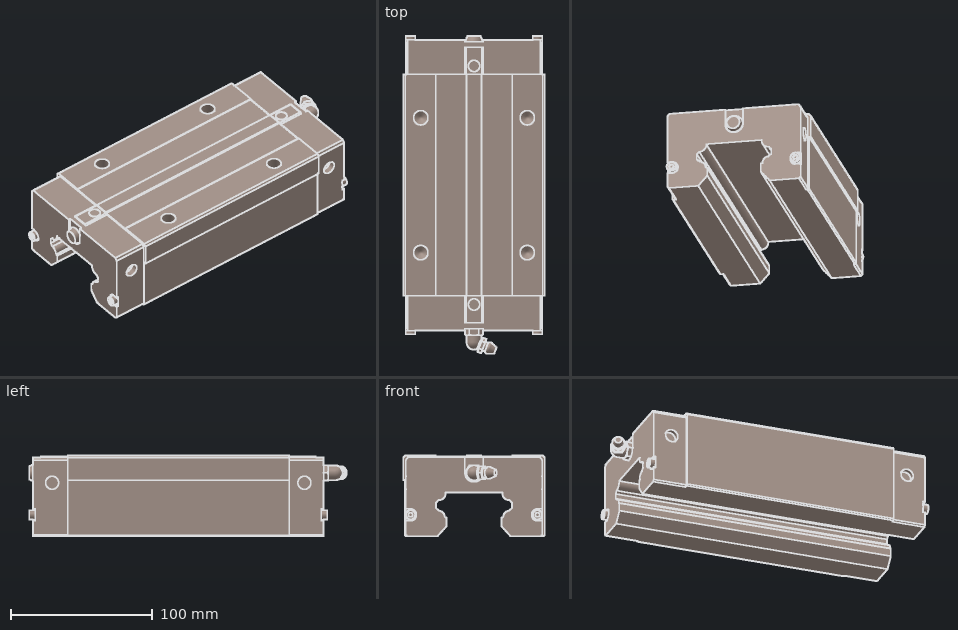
import cadquery as cq
import math

block_width = 100.0
block_length = 156.0
block_height = 57.0
block_chamfer = 1.5
block_bottom_chamfer = 1.0
datum_step_depth = 1.2
datum_step_height = 39.7
land_inner_x = 27.0
land_step = 0.5
strip_half_width = 5.0
strip_slope = 0.5

roof_corner = (20.0, 30.8)
upper_lip_middle = (21.4, 26.8)
upper_lip_end = (25.0, 25.5)
groove_top = (26.7, 23.7)
groove_bottom = (26.7, 20.0)
lower_lip_start = (24.7, 18.2)
lower_lip_middle = (21.9, 16.9)
lower_lip_end = (20.5, 13.7)
leg_top = (19.2, 13.2)
leg_bottom = (19.2, 7.2)
mouth_corner = (25.8, 0.0)

hole_diameter = 10.2
hole_depth = 20.0
hole_tip_angle = 118.0
hole_pitch_x = 75.0
hole_pitch_y = 95.0

cap_width = 96.0
cap_height = 55.7
cap_chamfer_width = 1.4
cap_chamfer_drop = 1.9
cap_bottom_chamfer = 1.2
cap_length = 19.0
plate_thickness = 5.4
cap_strip_top = 56.4
cap_strip_half_width = 5.3
cap_strip_slope = 1.1
cap_inner_y = block_length / 2
plate_inner_y = cap_inner_y + cap_length
end_y = plate_inner_y + plate_thickness

port_diameter = 8.0
port_depth = 0.3
port_y = 84.0
side_hole_diameter = 9.2
side_hole_depth = 5.0
side_hole_y = 88.8
side_hole_z = 37.8

screw_x = 44.7
screw_z = 15.2
screw_head_radius = 3.4
screw_head_chamfer = 0.2
screw_head_y = 105.1
screw_recess_radius = 4.2
screw_recess_depth = 1.6
socket_width = 3.0
socket_depth = 1.5

grease_z = 44.8
slot_half_width = 6.4
slot_depth = 1.4
slot_floor_y = end_y - slot_depth
plug_base_radius = 6.1
plug_top_radius = 4.6
plug_middle_radius = 5.6
plug_height = screw_head_y - slot_floor_y

nipple_hex_width = 11.0
nipple_hex_length = 4.7
nipple_hex_chamfer = 0.6
elbow_radius = 5.3
elbow_y = -110.67
nozzle_angle = 21.0
collar_start = 4.7
collar_end = 7.4
collar_width = 9.4
neck_radius = 4.2
groove_radius = 3.3
groove_position = 9.4
barb_radius = 4.3
barb_peak = 10.7
barb_end_radius = 4.0
barb_end = 12.2
tip_radius = 2.4
tip_position = 16.2


def across_corners(across_flats):
    return across_flats / math.cos(math.pi / 6)


def facing_end(y, x=0.0, z=0.0, side=1):
    """Workplane at position y whose normal points outward along side * Y; local y is Z."""
    return cq.Workplane(cq.Plane((x, y, z), (-side, 0, 0), (0, side, 0)))


def extruded_along_y(outline, y_start, length):
    return outline.extrude(length).translate((0, y_start + length, 0))


def make_block():
    half = block_width / 2
    left_low = half - datum_step_depth
    top = block_height
    floor = top - land_step
    strip_foot = strip_half_width + strip_slope
    outline = (
        cq.Workplane("XZ")
        .moveTo(-left_low + block_bottom_chamfer, 0)
        .lineTo(half - block_bottom_chamfer, 0)
        .lineTo(half, block_bottom_chamfer)
        .lineTo(half, top - block_chamfer)
        .lineTo(half - block_chamfer, top)
        .lineTo(land_inner_x, top)
        .lineTo(land_inner_x, floor)
        .lineTo(strip_foot, floor)
        .lineTo(strip_half_width, top)
        .lineTo(-strip_half_width, top)
        .lineTo(-strip_foot, floor)
        .lineTo(-land_inner_x, floor)
        .lineTo(-land_inner_x, top)
        .lineTo(-half + block_chamfer, top)
        .lineTo(-half, top - block_chamfer)
        .lineTo(-half, datum_step_height)
        .lineTo(-left_low, datum_step_height)
        .lineTo(-left_low, block_bottom_chamfer)
        .close()
    )
    return extruded_along_y(outline, -block_length / 2, block_length)


def cut_mounting_holes(body):
    radius = hole_diameter / 2
    tip_depth = radius / math.tan(math.radians(hole_tip_angle / 2))
    drill = (
        cq.Workplane("XZ")
        .lineTo(radius, 0)
        .lineTo(radius, -hole_depth)
        .lineTo(0, -hole_depth - tip_depth)
        .close()
        .revolve(360, (0, 0, 0), (0, 1, 0))
    )
    for x in (-hole_pitch_x / 2, hole_pitch_x / 2):
        for y in (-hole_pitch_y / 2, hole_pitch_y / 2):
            body = body.cut(drill.translate((x, y, block_height)))
    return body


def cap_slab(y_start, length):
    half = cap_width / 2
    outline = (
        cq.Workplane("XZ")
        .moveTo(-half + cap_bottom_chamfer, 0)
        .lineTo(half - cap_bottom_chamfer, 0)
        .lineTo(half, cap_bottom_chamfer)
        .lineTo(half, cap_height - cap_chamfer_drop)
        .lineTo(half - cap_chamfer_width, cap_height)
        .lineTo(-half + cap_chamfer_width, cap_height)
        .lineTo(-half, cap_height - cap_chamfer_drop)
        .lineTo(-half, cap_bottom_chamfer)
        .close()
    )
    return extruded_along_y(outline, y_start, length)


def cap_strip():
    foot = cap_strip_half_width + cap_strip_slope
    outline = cq.Workplane("XZ").polyline([
        (-foot, cap_height),
        (foot, cap_height),
        (cap_strip_half_width, cap_strip_top),
        (-cap_strip_half_width, cap_strip_top),
    ]).close()
    return extruded_along_y(outline, cap_inner_y, cap_length)


def screw_recess(x):
    outward = math.copysign(1, x)
    tool_start = end_y - screw_recess_depth
    edge_gap = cap_width / 2 - abs(x)
    size = 2 * screw_recess_radius
    round_part = facing_end(tool_start, x, screw_z).circle(screw_recess_radius).extrude(screw_recess_depth)
    side_part = cq.Workplane("XY").box(edge_gap, screw_recess_depth, size).translate(
        (x + outward * edge_gap / 2, tool_start + screw_recess_depth / 2, screw_z)
    )
    return round_part.union(side_part)


def cap_screw(x):
    start = end_y - screw_recess_depth
    head = (
        facing_end(start, x, screw_z)
        .circle(screw_head_radius)
        .extrude(screw_head_y - start)
        .faces(">Y")
        .chamfer(screw_head_chamfer)
    )
    socket = (
        facing_end(screw_head_y - socket_depth, x, screw_z)
        .polygon(6, across_corners(socket_width))
        .extrude(socket_depth)
    )
    return head.cut(socket)


def grease_slot():
    height = cap_strip_top - grease_z
    plane = facing_end(slot_floor_y, 0, grease_z)
    round_part = plane.circle(slot_half_width).extrude(slot_depth)
    open_part = plane.center(0, height / 2).rect(2 * slot_half_width, height).extrude(slot_depth)
    return round_part.union(open_part)


def make_end_cap():
    """End cap on the +Y side: cap body, raised strip, end plate, recesses and screws."""
    cap = cap_slab(cap_inner_y, cap_length + plate_thickness).union(cap_strip())
    port = cq.Workplane("XY", origin=(0, port_y, cap_strip_top)).circle(port_diameter / 2).extrude(-port_depth)
    cap = cap.cut(port).cut(grease_slot())
    for side in (-1, 1):
        side_hole = (
            cq.Workplane("YZ", origin=(side * cap_width / 2, side_hole_y, side_hole_z))
            .circle(side_hole_diameter / 2)
            .extrude(-side * side_hole_depth)
        )
        cap = cap.cut(side_hole).cut(screw_recess(side * screw_x)).union(cap_screw(side * screw_x))
    return cap


def make_rail_opening():
    def left(point):
        return (-point[0], point[1])

    length = 2 * end_y
    outline = (
        cq.Workplane("XZ")
        .moveTo(*left(roof_corner))
        .lineTo(*roof_corner)
        .threePointArc(upper_lip_middle, upper_lip_end)
        .lineTo(*groove_top)
        .lineTo(*groove_bottom)
        .lineTo(*lower_lip_start)
        .threePointArc(lower_lip_middle, lower_lip_end)
        .lineTo(*leg_top)
        .lineTo(*leg_bottom)
        .lineTo(*mouth_corner)
        .lineTo(*left(mouth_corner))
        .lineTo(*left(leg_bottom))
        .lineTo(*left(leg_top))
        .lineTo(*left(lower_lip_end))
        .threePointArc(left(lower_lip_middle), left(lower_lip_start))
        .lineTo(*left(groove_bottom))
        .lineTo(*left(groove_top))
        .lineTo(*left(upper_lip_end))
        .threePointArc(left(upper_lip_middle), left(roof_corner))
        .close()
    )
    return extruded_along_y(outline, -end_y, length)


def make_plug():
    """Domed plug closing the grease port on the +Y side."""
    return (
        cq.Workplane("XY", origin=(0, slot_floor_y, grease_z))
        .lineTo(plug_base_radius, 0)
        .threePointArc((plug_middle_radius, plug_height / 2), (plug_top_radius, plug_height))
        .lineTo(0, plug_height)
        .close()
        .revolve(360, (0, 0, 0), (0, 1, 0))
    )


def make_nozzle():
    """Hexagonal collar and barbed tip leaving the elbow centre along the nozzle axis."""
    angle = math.radians(nozzle_angle)
    axis = cq.Vector(math.cos(angle), -math.sin(angle), 0)
    across = cq.Vector(math.sin(angle), math.cos(angle), 0)
    centre = cq.Vector(0, elbow_y, grease_z)
    collar = (
        cq.Workplane(cq.Plane(centre + axis * collar_start, across, axis))
        .polygon(6, across_corners(collar_width))
        .extrude(collar_end - collar_start)
    )
    barb = (
        cq.Workplane(cq.Plane(centre, axis, (0, 0, 1)))
        .lineTo(0, neck_radius)
        .lineTo(groove_position, groove_radius)
        .threePointArc((barb_peak, barb_radius), (barb_end, barb_end_radius))
        .lineTo(tip_position, tip_radius)
        .lineTo(tip_position, 0)
        .close()
        .revolve(360, (0, 0, 0), (1, 0, 0))
    )
    return collar.union(barb)


def make_nipple():
    """Angled grease nipple on the -Y side: hexagon, round shank, spherical elbow and nozzle."""
    plane = facing_end(-slot_floor_y, 0, grease_z, side=-1)
    hexagon = plane.polygon(6, across_corners(nipple_hex_width)).extrude(nipple_hex_length)
    chamfered_round = (
        plane.circle(across_corners(nipple_hex_width) / 2)
        .extrude(nipple_hex_length)
        .faces("<Y")
        .chamfer(nipple_hex_chamfer)
    )
    hexagon = hexagon.intersect(chamfered_round)
    shank = plane.circle(elbow_radius).extrude(-slot_floor_y - elbow_y)
    elbow = cq.Workplane("XY").sphere(elbow_radius).translate((0, elbow_y, grease_z))
    return hexagon.union(shank).union(elbow).union(make_nozzle())


end_cap = make_end_cap()
body = cut_mounting_holes(make_block())
body = body.union(end_cap).union(end_cap.mirror("XZ"))
body = body.cut(make_rail_opening())
result = body.union(make_plug()).union(make_nipple())